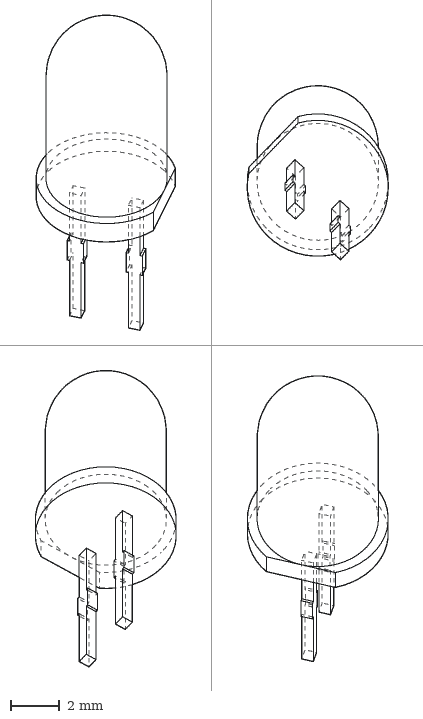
import cadquery as cq

total_height = 15.6
body_radius = 2.5
flange_radius = 2.9
flange_height = 1.0
lens_height = 9.0

lead_length = total_height - lens_height
lead_side = 0.5
lead_spacing = 2.55
collar_width = 0.7
collar_height = 1.05
collar_drop = 2.57


def make_lens():
    """Cylinder with a hemispherical dome, revolved about Z."""
    shoulder = lens_height - body_radius
    diagonal = body_radius * 0.5 ** 0.5
    return (
        cq.Workplane("XZ")
        .lineTo(body_radius, 0)
        .lineTo(body_radius, shoulder)
        .threePointArc((diagonal, shoulder + diagonal), (0, lens_height))
        .close()
        .revolve(360, (0, 0), (0, 1))
    )


def make_flange():
    """Disc with a flat on +X that is flush with the lens."""
    disc = cq.Workplane("XY").circle(flange_radius).extrude(flange_height)
    flat_cutter = cq.Workplane("XY").box(
        flange_radius, 2 * flange_radius, flange_height, centered=(False, True, False)
    )
    return disc.cut(flat_cutter.translate((body_radius, 0, 0)))


def make_lead(x):
    """Square lead with a wider stop collar, hanging below the flange."""
    pin = cq.Workplane("XY").rect(lead_side, lead_side).extrude(-lead_length)
    collar = (
        cq.Workplane("XY")
        .workplane(offset=-collar_drop)
        .rect(collar_width, lead_side)
        .extrude(-collar_height)
    )
    return pin.union(collar).translate((x, 0, 0))


result = make_flange().union(make_lens())
for side in (-1, 1):
    result = result.union(make_lead(side * lead_spacing / 2))